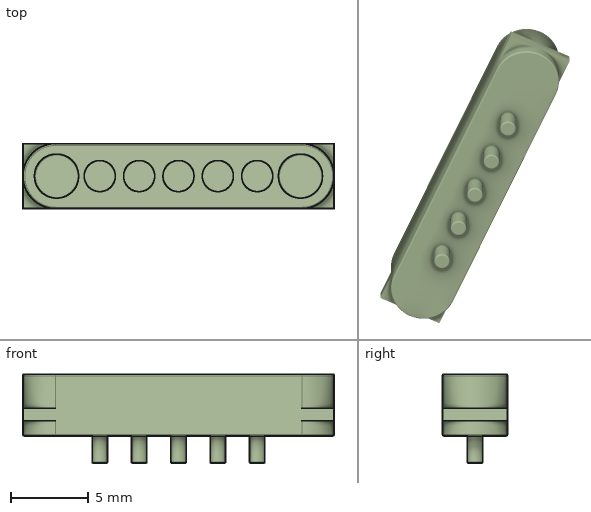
import cadquery as cq

housing_length = 20.08
housing_width = 4.2
housing_height = 4.0
rim_radius = 0.1

flange_length = housing_length
flange_thickness = 0.82
flange_bottom = 0.98

magnet_diameter = 2.85
magnet_height = 2.0
magnet_edge_radius = 0.05
magnet_offset = 7.87

pin_count = 5
pin_row_length = 10.16
pin_pitch = pin_row_length / (pin_count - 1)
head_diameter = 2.0
head_height = 2.0
tail_diameter = 1.0
tail_protrusion = 1.75
tail_tip_radius = 0.1

magnet_positions = [(-magnet_offset, 0), (magnet_offset, 0)]
pin_positions = [((i - (pin_count - 1) / 2) * pin_pitch, 0) for i in range(pin_count)]


def make_housing():
    bar = (
        cq.Workplane("XY")
        .slot2D(housing_length, housing_width)
        .extrude(housing_height)
        .faces("<Z or >Z")
        .fillet(rim_radius)
    )
    flange = (
        cq.Workplane("XY", origin=(0, 0, flange_bottom))
        .rect(flange_length, housing_width)
        .extrude(flange_thickness)
    )
    top = cq.Workplane("XY", origin=(0, 0, housing_height))
    magnet_pockets = top.pushPoints(magnet_positions).circle(magnet_diameter / 2).extrude(-magnet_height)
    head_pockets = top.pushPoints(pin_positions).circle(head_diameter / 2).extrude(-head_height)
    tail_holes = top.pushPoints(pin_positions).circle(tail_diameter / 2).extrude(-housing_height)
    return bar.union(flange).cut(magnet_pockets).cut(head_pockets).cut(tail_holes)


def make_magnet(position):
    return (
        cq.Workplane("XY", origin=(0, 0, housing_height))
        .center(*position)
        .circle(magnet_diameter / 2)
        .extrude(-magnet_height)
        .faces(">Z")
        .fillet(magnet_edge_radius)
    )


def make_pin(position):
    tail = (
        cq.Workplane("XY", origin=(0, 0, -tail_protrusion))
        .center(*position)
        .circle(tail_diameter / 2)
        .extrude(tail_protrusion + housing_height - head_height)
        .faces("<Z")
        .fillet(tail_tip_radius)
    )
    head = (
        cq.Workplane("XY", origin=(0, 0, housing_height))
        .center(*position)
        .circle(head_diameter / 2)
        .extrude(-head_height)
    )
    return tail.union(head)


housing = make_housing()
magnets = [make_magnet(position) for position in magnet_positions]
pins = [make_pin(position) for position in pin_positions]

result = cq.Compound.makeCompound([housing.val(), *[body.val() for body in magnets + pins]])